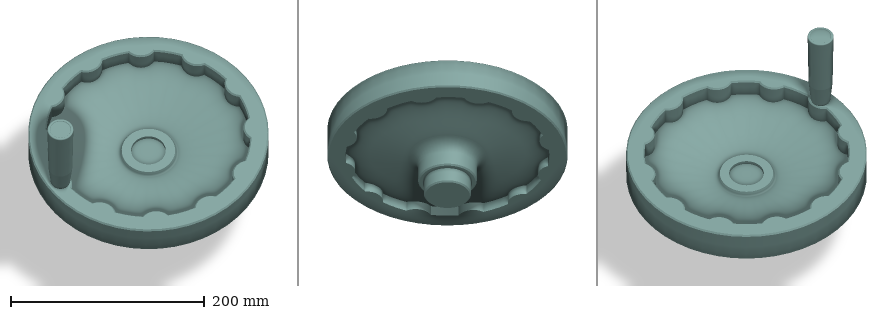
import cadquery as cq
import math

RIM_RADIUS = 124.0
RIM_BOTTOM = 49.0
RIM_TOP = 83.0
RIM_BORE_RADIUS = 105.2
RIM_CHAMFER = 1.5

LOBE_COUNT = 12
LOBE_RADIUS = 17.0
LOBE_TIP_RADIUS = 98.2
LOBE_CENTRE_RADIUS = LOBE_TIP_RADIUS + LOBE_RADIUS

WEB_SLOPE = 0.21
WEB_ANGLE = math.atan(WEB_SLOPE)
WEB_THICKNESS = 4.5
WEB_OUTER_RADIUS = 114.0

HUB_RADIUS = 30.3
HUB_BOTTOM = 16.9
HUB_FLARE_RADIUS = 13.1
STUB_RADIUS = 24.3
HUB_CHAMFER = 1.5

BOSS_BASE_RADIUS = 31.2
BOSS_BASE_HEIGHT = 49.0
BOSS_WALL_RADIUS = 28.8
BOSS_WALL_BOTTOM = 50.3
BOSS_TOP_RADIUS = 27.5
BOSS_TOP = 53.0
RECESS_RADIUS = 17.9
RECESS_DEPTH = 3.7

HANDLE_OFFSET = 109.4
HANDLE_TOP = 174.0
HANDLE_TOP_RADIUS = 13.5
GRIP_BOTTOM = 108.5
GRIP_BOTTOM_RADIUS = 12.5
NECK_BOTTOM_RADIUS = 10.2
FOOT_RADIUS = 9.7
FOOT_HEIGHT = 1.5
HANDLE_FILLET = 1.0
CAP_RADIUS = 10.5
CAP_RIM_RADIUS = 11.0
CAP_RECESS = 0.5


def web_top(radius):
    """Height of the upper face of the web."""
    return BOSS_BASE_HEIGHT + WEB_SLOPE * (radius - BOSS_BASE_RADIUS)


def web_bottom(radius):
    """Height of the lower face of the web."""
    return web_top(radius) - WEB_THICKNESS


def make_rim():
    """Ring chamfered on both outer edges, with grip lobes along its bore."""
    rim = (
        cq.Workplane("XY", origin=(0, 0, RIM_BOTTOM))
        .circle(RIM_RADIUS)
        .extrude(RIM_TOP - RIM_BOTTOM)
        .edges()
        .chamfer(RIM_CHAMFER)
    )
    return rim.cut(make_bore())


def make_bore():
    """Opening of the rim: the bore widens and the lobes narrow at the top chamfer."""
    height = RIM_TOP - RIM_BOTTOM
    base = cq.Workplane("XY", origin=(0, 0, RIM_BOTTOM))
    bore = base.circle(RIM_BORE_RADIUS).extrude(height)
    mouth = cq.Workplane(
        cq.Solid.makeCone(
            RIM_BORE_RADIUS,
            RIM_BORE_RADIUS + RIM_CHAMFER,
            RIM_CHAMFER,
            pnt=cq.Vector(0, 0, RIM_TOP - RIM_CHAMFER),
        )
    )
    lobes = (
        base.polarArray(LOBE_CENTRE_RADIUS, 0, 360, LOBE_COUNT)
        .circle(LOBE_RADIUS)
        .extrude(height)
        .faces(">Z")
        .edges()
        .chamfer(RIM_CHAMFER)
    )
    return bore.union(mouth).cut(lobes)


def make_web_and_hub():
    """Web, hub, stub and boss, turned from one half profile of radius and height."""
    flare_tangent = HUB_FLARE_RADIUS * math.tan((math.pi / 2 - WEB_ANGLE) / 2)
    flare_start = web_bottom(HUB_RADIUS) - flare_tangent
    flare_end_radius = HUB_RADIUS + flare_tangent * math.cos(WEB_ANGLE)

    recess_floor = BOSS_TOP - RECESS_DEPTH
    profile = (
        cq.Workplane("XZ")
        .lineTo(STUB_RADIUS - HUB_CHAMFER, 0)
        .lineTo(STUB_RADIUS, HUB_CHAMFER)
        .lineTo(STUB_RADIUS, HUB_BOTTOM)
        .lineTo(HUB_RADIUS - HUB_CHAMFER, HUB_BOTTOM)
        .lineTo(HUB_RADIUS, HUB_BOTTOM + HUB_CHAMFER)
        .lineTo(HUB_RADIUS, flare_start)
        .tangentArcPoint((flare_end_radius, web_bottom(flare_end_radius)), relative=False)
        .lineTo(WEB_OUTER_RADIUS, web_bottom(WEB_OUTER_RADIUS))
        .lineTo(WEB_OUTER_RADIUS, web_top(WEB_OUTER_RADIUS))
        .lineTo(BOSS_BASE_RADIUS, BOSS_BASE_HEIGHT)
        .tangentArcPoint((BOSS_WALL_RADIUS, BOSS_WALL_BOTTOM), relative=False)
        .lineTo(BOSS_TOP_RADIUS, BOSS_TOP)
        .lineTo(RECESS_RADIUS, BOSS_TOP)
        .lineTo(RECESS_RADIUS, recess_floor)
        .lineTo(0, recess_floor)
        .close()
    )
    return profile.revolve(360, (0, 0, 0), (0, 1, 0))


def make_wheel():
    return make_rim().union(make_web_and_hub())


def make_handle():
    """Turned handle: foot, neck, grip and a slightly sunk cap at its top."""
    fillet_start = HANDLE_TOP - HANDLE_FILLET
    land_radius = HANDLE_TOP_RADIUS - HANDLE_FILLET
    profile = (
        cq.Workplane("XZ", origin=(0, -HANDLE_OFFSET, 0))
        .moveTo(0, RIM_TOP)
        .lineTo(FOOT_RADIUS, RIM_TOP)
        .lineTo(NECK_BOTTOM_RADIUS, RIM_TOP + FOOT_HEIGHT)
        .lineTo(GRIP_BOTTOM_RADIUS, GRIP_BOTTOM)
        .lineTo(HANDLE_TOP_RADIUS, fillet_start)
        .radiusArc((land_radius, HANDLE_TOP), -HANDLE_FILLET)
        .lineTo(CAP_RIM_RADIUS, HANDLE_TOP)
        .lineTo(CAP_RADIUS, HANDLE_TOP - CAP_RECESS)
        .lineTo(0, HANDLE_TOP - CAP_RECESS)
        .close()
    )
    return profile.revolve(360, (0, 0, 0), (0, 1, 0))


wheel = make_wheel()
handle = make_handle()

result = cq.Compound.makeCompound([wheel.val(), handle.val()])